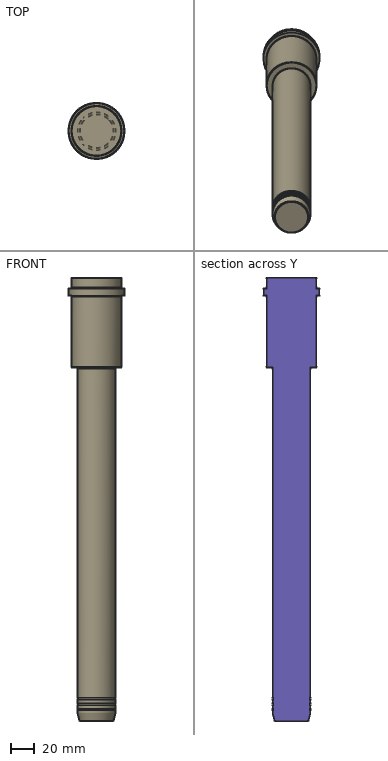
import cadquery as cq
import math

total_length = 370.0

head_diameter = 42.0
head_length = 75.0
flange_diameter = 47.0
flange_thickness = 6.0
flange_top_offset = 9.0

shank_diameter = 32.0
lead_in_length = 6.8
lead_in_angle = 15.0

edge_chamfer = 0.5

relief_width = 1.0
relief_depth = 0.3

groove_count = 3
groove_width = 1.5
groove_depth = 0.4
groove_pitch = 4.5
first_groove_bottom = 9.0

head_bottom = total_length - head_length
flange_top = total_length - flange_top_offset
flange_bottom = flange_top - flange_thickness


def make_disc(diameter, bottom, height):
    """Solid cylinder on the Z axis."""
    return cq.Workplane("XY").workplane(offset=bottom).circle(diameter / 2).extrude(height)


def make_shank():
    """Shank reaching up to the head, with a conical lower end."""
    radius = shank_diameter / 2
    tip_radius = radius - lead_in_length * math.tan(math.radians(lead_in_angle))
    profile = [
        (0, 0),
        (tip_radius, 0),
        (radius, lead_in_length),
        (radius, head_bottom),
        (0, head_bottom),
    ]
    shank = cq.Workplane("XZ").polyline(profile).close().revolve(360, (0, 0), (0, 1))
    return shank.faces("<Z").edges().chamfer(edge_chamfer)


def make_head():
    """Head chamfered at both ends, carrying a flange chamfered on its upper edge."""
    head = make_disc(head_diameter, head_bottom, head_length)
    head = head.faces("<Z or >Z").edges().chamfer(edge_chamfer)
    flange = make_disc(flange_diameter, flange_bottom, flange_thickness)
    flange = flange.faces(">Z").edges().chamfer(edge_chamfer)
    return head.union(flange)


def cut_groove(body, diameter, bottom, width, depth):
    """Cut a rectangular groove around a cylindrical stretch of the body."""
    core = make_disc(diameter - 2 * depth, bottom, width)
    return body.cut(make_disc(diameter, bottom, width).cut(core))


def cut_reliefs(body):
    """Undercut the head on both sides of the flange and the shank below the head."""
    body = cut_groove(body, head_diameter, flange_top, relief_width, relief_depth)
    body = cut_groove(body, head_diameter, flange_bottom - relief_width, relief_width, relief_depth)
    return cut_groove(body, shank_diameter, head_bottom - relief_width, relief_width, relief_depth)


def cut_lubrication_grooves(body):
    """Cut the evenly spaced grooves near the lower end of the shank."""
    for index in range(groove_count):
        bottom = first_groove_bottom + index * groove_pitch
        body = cut_groove(body, shank_diameter, bottom, groove_width, groove_depth)
    return body


pillar = make_shank().union(make_head())
pillar = cut_reliefs(pillar)
result = cut_lubrication_grooves(pillar)